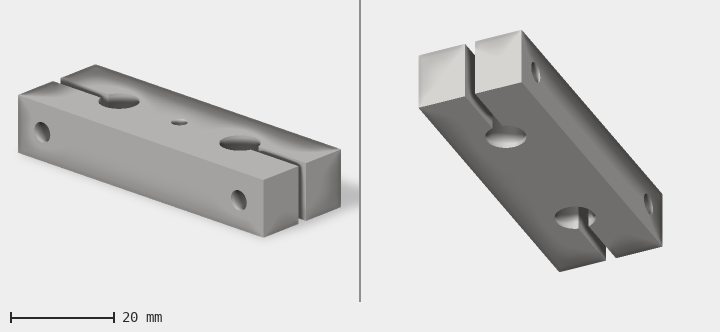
import cadquery as cq
import math

length = 65.0
width = 22.0
height = 12.0

bore_diameter = 8.0
bore_offset = 16.0
slot_width = 2.15

screw_hole_diameter = 4.15
screw_hole_offset = 26.0

mark_diameter = 3.4
pilot_diameter = 1.6
mark_cone_angle = 60.0
pilot_length = 1.3
pilot_tip_angle = 120.0


def cone_depth(outer_radius, inner_radius, included_angle):
    """Depth over which a cone narrows from one radius to another."""
    return (outer_radius - inner_radius) / math.tan(math.radians(included_angle / 2))


def clamp_cut(side):
    """Vertical bore and its slot; side is -1 or 1 along X."""
    slot_length = length / 2 - bore_offset
    bore = (
        cq.Workplane("XY")
        .center(side * bore_offset, 0)
        .circle(bore_diameter / 2)
        .extrude(height / 2, both=True)
    )
    slot = cq.Workplane("XY").box(slot_length, slot_width, height)
    return bore.union(slot.translate((side * (bore_offset + slot_length / 2), 0, 0)))


def screw_hole(side):
    """Hole through the width, crossing the slot at mid height."""
    return (
        cq.Workplane("XZ")
        .center(side * screw_hole_offset, 0)
        .circle(screw_hole_diameter / 2)
        .extrude(width / 2, both=True)
    )


def centre_mark():
    """Tapered mouth, short pilot and pointed tip, revolved about Z."""
    mark_radius = mark_diameter / 2
    pilot_radius = pilot_diameter / 2
    top = height / 2
    pilot_top = top - cone_depth(mark_radius, pilot_radius, mark_cone_angle)
    pilot_bottom = pilot_top - pilot_length
    tip = pilot_bottom - cone_depth(pilot_radius, 0, pilot_tip_angle)
    profile = [
        (0, top),
        (mark_radius, top),
        (pilot_radius, pilot_top),
        (pilot_radius, pilot_bottom),
        (0, tip),
    ]
    return cq.Workplane("XZ").polyline(profile).close().revolve(360, (0, 0), (0, 1))


result = cq.Workplane("XY").box(length, width, height)
for end in (-1, 1):
    result = result.cut(clamp_cut(end)).cut(screw_hole(end))
result = result.cut(centre_mark())